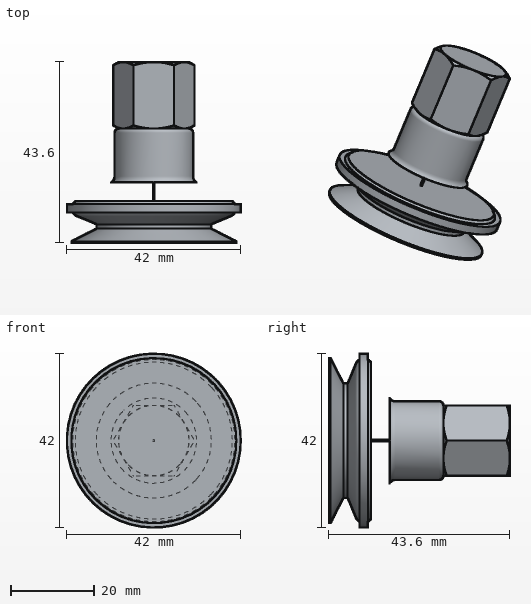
import cadquery as cq
import math

total_length = 43.6

lip_radius = 19.9
lip_thickness = 0.45
neck_radius = 13.85
neck_start = 3.5
neck_end = 4.55
shoulder_start = 6.45
shoulder_start_radius = 18.5
shoulder_radius = 19.55
flange_radius = 20.98
flange_start = 7.33
flange_end = 9.4
cup_end = 10.15
cup_end_radius = 18.93

collar_radius = 9.5
flare_radius = 10.3
collar_start = 14.6
flare_end = 16.0
collar_rounding = 1.05

hex_across_flats = 17.0
hex_start = 27.6
hex_chamfer_angle = math.radians(30)

core_radius = 0.2


def revolve_about_y(outline):
    return outline.close().revolve(360, (0, 0, 0), (0, 1, 0))


def make_cup():
    outline = (
        cq.Workplane("XY")
        .lineTo(lip_radius, 0)
        .lineTo(lip_radius, lip_thickness)
        .lineTo(neck_radius, neck_start)
        .lineTo(neck_radius, neck_end)
        .lineTo(shoulder_start_radius, shoulder_start)
        .tangentArcPoint((shoulder_radius, flange_start), relative=False)
        .lineTo(flange_radius, flange_start)
        .lineTo(flange_radius, flange_end)
        .lineTo(shoulder_radius, flange_end)
        .lineTo(cup_end_radius, cup_end)
        .lineTo(0, cup_end)
    )
    return revolve_about_y(outline)


def make_collar():
    flare_height = flare_end - collar_start
    flare_width = flare_radius - collar_radius
    arc_radius = (flare_height**2 + flare_width**2) / (2 * flare_width)
    half_angle = math.asin(flare_height / arc_radius) / 2
    flare_middle = (
        collar_radius + arc_radius * (1 - math.cos(half_angle)),
        flare_end - arc_radius * math.sin(half_angle),
    )
    outline = (
        cq.Workplane("XY")
        .moveTo(0, collar_start)
        .lineTo(flare_radius, collar_start)
        .threePointArc(flare_middle, (collar_radius, flare_end))
        .lineTo(collar_radius, hex_start - collar_rounding)
        .tangentArcPoint((collar_radius - collar_rounding, hex_start), relative=False)
        .lineTo(0, hex_start)
    )
    return revolve_about_y(outline)


def make_hex_head():
    flat_radius = hex_across_flats / 2
    corner_radius = flat_radius / math.cos(math.pi / 6)
    chamfer_length = (corner_radius - flat_radius) * math.tan(hex_chamfer_angle)
    prism = (
        cq.Workplane("XZ", origin=(0, hex_start, 0))
        .polygon(6, 2 * corner_radius)
        .extrude(hex_start - total_length)
    )
    envelope = revolve_about_y(
        cq.Workplane("XY")
        .moveTo(0, hex_start)
        .lineTo(flat_radius, hex_start)
        .lineTo(corner_radius, hex_start + chamfer_length)
        .lineTo(corner_radius, total_length - chamfer_length)
        .lineTo(flat_radius, total_length)
        .lineTo(0, total_length)
    )
    return prism.intersect(envelope)


def make_core():
    return cq.Workplane("XZ", origin=(0, cup_end, 0)).circle(core_radius).extrude(cup_end - collar_start)


result = make_cup().union(make_core()).union(make_collar()).union(make_hex_head())